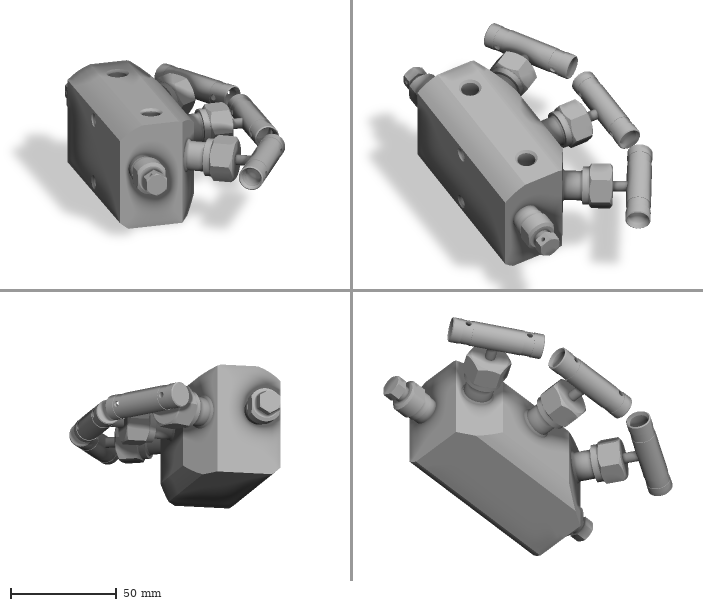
import cadquery as cq
import math

overall_depth = 85.4
block_length = 84.0
block_depth = 43.0
block_height = 52.0
bar_radius = 29.1
bar_center_y = 20.2
bar_center_z = 24.4
valve_tilt = 31
corner_length = 19.8
corner_depth = corner_length * math.tan(math.radians(valve_tilt))
axis_z = 30.5

drill_point_angle = 118
port_x = 26.9
port_y = 20.2
port_diameter = 8.5
port_mouth_diameter = 10.8
port_mouth_depth = 1.11
port_depth = 14.8
pilot_diameter = 4.0
pilot_depth = 22.2
mount_hole_heights = (8.7, 40.5)
mount_hole_diameter = 5.0
mount_mouth_diameter = 6.8
mount_mouth_depth = 0.9
mount_hole_depth = 11.8

valve_offset_x = 33.0
neck_diameter = 14.0
neck_foot_diameter = 16.0
neck_head_diameter = 15.0
neck_head_height = 0.9
neck_length = 9.6
collar_diameter = 18.0
collar_top = 12.7
nut_top = 24.0
nut_across_flats = 19.2
nut_end_diameter = 18.3
nut_chamfer_height = 1.3
stem_diameter = 5.0
handle_length = 45.0
handle_diameter = 12.0
handle_height = overall_depth - block_depth - handle_diameter / 2
handle_groove_diameter = 11.5
handle_groove_start = 5.0
handle_groove_end = 9.9
handle_edge_chamfer = 0.5
handle_cross_hole_diameter = 3.0
handle_bore_diameter = 9.0
handle_bore_depth = 11.8
handle_mouth_diameter = 10.8
handle_mouth_depth = 1.6

plug_y = 11.1
plug_thread_diameter = 13.5
plug_thread_length = 4.0
plug_ring_diameter = 14.2
plug_ring_end = 7.7
plug_body_end = 15.7
plug_body_diameter = 16.1
plug_body_flats = 13.7
plug_body_end_diameter = 12.9
plug_body_chamfer = 0.9
plug_neck_diameter = 8.1
plug_hex_start = 18.5
plug_hex_end = 23.8
plug_hex_flats = 10.0
plug_hex_chamfer = 0.37
vent_diameter = 2.2


def across_corners(across_flats):
    return across_flats / math.cos(math.radians(30))


def drilled_hole(diameter, depth, mouth_diameter=0, mouth_depth=0):
    """Hole cutter from the origin down -Z with a drill point and, if wanted, a conical mouth."""
    radius = diameter / 2
    point = radius / math.tan(math.radians(drill_point_angle / 2))
    if mouth_diameter:
        rim = [(mouth_diameter / 2, 0), (radius, -mouth_depth)]
    else:
        rim = [(radius, 0)]
    profile = [(0, 0), *rim, (radius, -depth), (0, -depth - point)]
    return cq.Workplane("XZ").polyline(profile).close().revolve(360, (0, 0), (0, 1))


def make_block():
    end_profile = cq.Workplane("YZ", origin=(-block_length / 2, 0, 0))
    block = end_profile.rect(block_depth, block_height, centered=False).extrude(block_length)
    bar = end_profile.center(bar_center_y, bar_center_z).circle(bar_radius).extrude(block_length)
    block = block.intersect(bar)
    for side in (-1, 1):
        corner = [
            (side * block_length / 2, block_depth),
            (side * (block_length / 2 - corner_length), block_depth),
            (side * block_length / 2, block_depth - corner_depth),
        ]
        block = block.cut(cq.Workplane("XY").polyline(corner).close().extrude(block_height))
    return block


def cut_block_holes(block):
    port = drilled_hole(port_diameter, port_depth, port_mouth_diameter, port_mouth_depth)
    port = port.union(drilled_hole(pilot_diameter, pilot_depth))
    for x in (-port_x, port_x):
        block = block.cut(port.translate((x, port_y, block_height)))
    mount = drilled_hole(mount_hole_diameter, mount_hole_depth, mount_mouth_diameter, mount_mouth_depth)
    mount = mount.rotate((0, 0, 0), (1, 0, 0), 90)
    for z in mount_hole_heights:
        block = block.cut(mount.translate((0, 0, z)))
    return block


def make_handle():
    """T-handle along X, grooved near both ends, with a blind bore in the +X end."""
    half = handle_length / 2
    groove_width = handle_groove_end - handle_groove_start
    hole_x = half - (handle_groove_start + handle_groove_end) / 2
    handle = cq.Workplane("YZ", origin=(-half, 0, 0)).circle(handle_diameter / 2).extrude(handle_length)
    handle = handle.faces("<X or >X").chamfer(handle_edge_chamfer)
    for x in (-hole_x, hole_x):
        band = cq.Workplane("YZ", origin=(x - groove_width / 2, 0, 0))
        groove = band.circle(handle_diameter).circle(handle_groove_diameter / 2).extrude(groove_width)
        cross_hole = (
            cq.Workplane("XZ", origin=(x, 0, 0))
            .circle(handle_cross_hole_diameter / 2)
            .extrude(handle_diameter, both=True)
        )
        handle = handle.cut(groove).cut(cross_hole)
    bore = drilled_hole(handle_bore_diameter, handle_bore_depth, handle_mouth_diameter, handle_mouth_depth)
    bore = bore.rotate((0, 0, 0), (0, 1, 0), 90).translate((half, 0, 0))
    return handle.cut(bore)


def make_nut():
    """Hexagon along Y with flats on +Z and -Z and both ends turned to a cone."""
    height = nut_top - collar_top
    corner_radius = across_corners(nut_across_flats) / 2
    end_radius = nut_end_diameter / 2
    hexagon = cq.Workplane("XZ").polygon(6, 2 * corner_radius).extrude(-height)
    envelope = [
        (0, 0),
        (end_radius, 0),
        (corner_radius, nut_chamfer_height),
        (corner_radius, height - nut_chamfer_height),
        (end_radius, height),
        (0, height),
    ]
    turned = cq.Workplane("XY").polyline(envelope).close().revolve(360, (0, 0), (0, 1))
    return hexagon.intersect(turned).translate((0, collar_top, 0))


def make_valve():
    """Valve along +Y with its foot at the origin."""
    foot_height = (neck_foot_diameter - neck_diameter) / 2
    profile = [
        (0, 0),
        (neck_foot_diameter / 2, 0),
        (neck_diameter / 2, foot_height),
        (neck_diameter / 2, neck_length - neck_head_height),
        (neck_head_diameter / 2, neck_length),
        (collar_diameter / 2, neck_length),
        (collar_diameter / 2, collar_top),
        (stem_diameter / 2, collar_top),
        (stem_diameter / 2, handle_height),
        (0, handle_height),
    ]
    valve = cq.Workplane("XY").polyline(profile).close().revolve(360, (0, 0), (0, 1))
    return valve.union(make_nut()).union(make_handle().translate((0, handle_height, 0)))


def make_plug(vent_turn):
    """Vent plug along +X from the origin; vent_turn places its vent hole, in degrees from -Y."""
    profile = [
        (0, 0),
        (0, plug_thread_diameter / 2),
        (plug_thread_length, plug_thread_diameter / 2),
        (plug_thread_length, plug_ring_diameter / 2),
        (plug_ring_end, plug_ring_diameter / 2),
        (plug_ring_end, plug_neck_diameter / 2),
        (plug_hex_start, plug_neck_diameter / 2),
        (plug_hex_start, 0),
    ]
    plug = cq.Workplane("XY").polyline(profile).close().revolve(360, (0, 0), (1, 0))

    body_length = plug_body_end - plug_ring_end
    body_chamfer_depth = (plug_body_diameter - plug_body_end_diameter) / 2
    body_base = cq.Workplane("YZ", origin=(plug_ring_end, 0, 0))
    body = body_base.circle(plug_body_diameter / 2).extrude(body_length)
    body = body.faces(">X").edges().chamfer(plug_body_chamfer, body_chamfer_depth)
    flats = cq.Workplane("YZ").rect(plug_body_flats, plug_body_diameter).extrude(plug_body_end)

    hex_length = plug_hex_end - plug_hex_start
    hex_corners = across_corners(plug_hex_flats)
    hex_base = cq.Workplane("YZ", origin=(plug_hex_start, 0, 0))
    head = hex_base.polygon(6, hex_corners).extrude(hex_length).rotate((0, 0, 0), (1, 0, 0), 90)
    turned = hex_base.circle(hex_corners / 2).extrude(hex_length)
    turned = turned.faces(">X").chamfer(plug_hex_chamfer, (hex_corners - plug_hex_flats) / 2)

    vent_x = (plug_hex_start + plug_hex_end) / 2
    vent = cq.Workplane("XZ", origin=(vent_x, 0, 0)).circle(vent_diameter / 2).extrude(plug_hex_flats)
    vent = vent.rotate((0, 0, 0), (1, 0, 0), vent_turn)
    return plug.union(body.intersect(flats)).union(head.intersect(turned)).cut(vent)


result = cut_block_holes(make_block())

valve = make_valve()
result = result.union(valve.translate((0, block_depth, axis_z)))
corner_start_x = block_length / 2 - corner_length
valve_foot_y = block_depth - (valve_offset_x - corner_start_x) * corner_depth / corner_length
for side in (-1, 1):
    tilted_valve = valve.rotate((0, 0, 0), (0, 0, 1), -side * valve_tilt)
    result = result.union(tilted_valve.translate((side * valve_offset_x, valve_foot_y, axis_z)))

plug_seat = (block_length / 2, plug_y, axis_z)
left_plug = make_plug(0).mirror("YZ")
result = result.union(make_plug(-60).translate(plug_seat))
result = result.union(left_plug.translate((-plug_seat[0], plug_seat[1], plug_seat[2])))